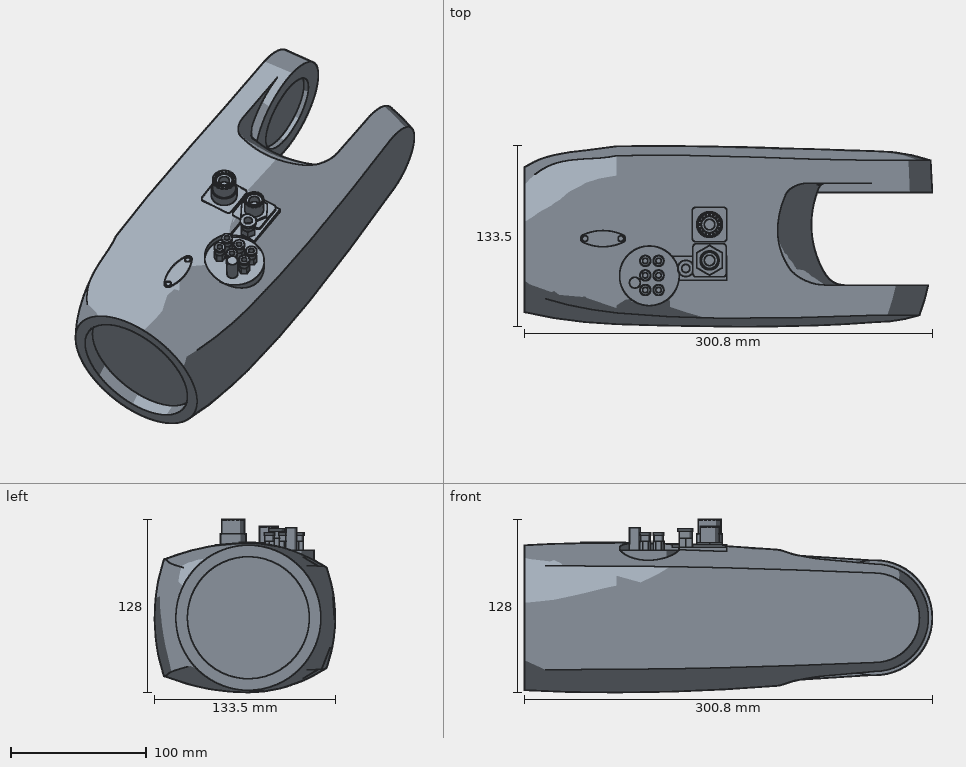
import cadquery as cq
import math

TOTAL_LENGTH = 300.83
WRIST_RADIUS = 42.5
WRIST_X = TOTAL_LENGTH - WRIST_RADIUS
FLANGE_RADIUS = 53.5
BASE_BORE_DIAMETER = 90
BASE_BORE_DEPTH = 10
SEAM_X = 68


def on_flange(y):
    """Corner point on the round mounting end at the given distance from the mid-plane."""
    return y, math.sqrt(FLANGE_RADIUS**2 - y**2)


ROUND_SECTION = (0, FLANGE_RADIUS, on_flange(40.4), FLANGE_RADIUS, on_flange(37.7), FLANGE_RADIUS)
SEAM_SECTION = (SEAM_X, 55.2, (62, 43), 69.0, (54, 38), 62.4)
WRIST_SECTION = (WRIST_X, 43.2, (58.5, 41.3), 65.4, (55.7, 33), 60.9)
BASE_SECTIONS = [
    ROUND_SECTION,
    (17, 54.4, (54, 38.8), 61.3, (44, 38.4), 57.2),
    (34, 54.9, (58.7, 41), 64.8, (48.5, 38.3), 59.8),
    SEAM_SECTION,
]
FORK_SECTIONS = [
    SEAM_SECTION,
    (133, 53.7, (62, 43), 69.0, (57.7, 37.2), 64.0),
    (195, 49.6, (60, 42.5), 67.5, (57.6, 35.4), 63.9),
    WRIST_SECTION,
]

PLUS_ARM_Y = 41.7
HUB_Y = 34.8
MINUS_ARM_Y = -33.4
NOTCH_AXIS_X = 282
NOTCH_AXIS_Y = 11
NOTCH_EDGE_X = 185.5
NOTCH_CROWN_X = 211.8
NOTCH_EDGE_Z = 51
PLUS_NOTCH_RADIUS = 10
MINUS_NOTCH_RADIUS = 16
HUB_BORE_DIAMETER = 58
HUB_BORE_DEPTH = 4

PANEL_X = 92.1
PANEL_Y = -26.6
PANEL_Z = 49.8
PANEL_DIAMETER = 44
FITTING_COLUMNS = (89.1, 98.9)
FITTING_ROWS = (-15.6, -26.3, -37.1)
SMALL_LEVELS = (PANEL_Z, 56.3, 61, 62.7)
SMALL_SIZES = (7, 0, 7, 8, 4)
PIN_X = 81.4
PIN_Y = -31.7
PIN_DIAMETER = 8
PIN_TOP = 66.4

TRAY_END_X = 149
TRAY_Y = (-29.8, -12.3)
TRAY_Z = 52
LARGE_FITTING_X = 119
LARGE_FITTING_Y = -21.2
LARGE_LEVELS = (TRAY_Z, 58.7, 63.7, 65.7)
LARGE_SIZES = (9.8, 30, 9.8, 12, 6)

TALL_FLANGE_SIZE = 25.4
LOW_FLANGE_SIZE = 24.5
FLANGE_CORNER = 2.5
FLANGE_TOP = 53.7
CONNECTOR_X = 136.5
TALL_CONNECTOR_Y = 11.2
TALL_CONNECTOR_TOP = 72.8
TALL_COLLAR_TOP = 61.9
TALL_COLLAR_DIAMETER = 19
TALL_CONNECTOR_DIAMETER = 17
LOW_CONNECTOR_Y = -15.2
LOW_CONNECTOR_TOP = 67.6
LOW_CONNECTOR_DIAMETER = 14
LOW_NUT_HEIGHT = 1.5
LOW_NUT_FLATS = 19
LOW_NUT_TURN = 30
SOCKET_DIAMETER = 12
SOCKET_DEPTH = 1.5
CONTACT_DIAMETER = 7.8
CONTACT_DEPTH = 8
RIM_NOTCHES = 16
RIM_NOTCH_WIDTH = 1
RIM_NOTCH_DEPTH = 0.8

LABEL_X = 57.9
LABEL_Y = 0.8
LABEL_LENGTH = 39
LABEL_WIDTH = 12
LABEL_TOP = 55.6
LABEL_DEPTH = 4
LABEL_TIP_RADIUS = 3
LABEL_SCREW_SPACING = 26.4
LABEL_SCREW_DIAMETER = 4.2
LABEL_SCREW_DEPTH = 1

CLEARANCE = 30
EMBED = 12


def ridge_arc_mid(ridge, corner):
    """Point halfway along the arc that leaves the ridge level and ends at the corner."""
    y, z = corner
    drop = ridge - z
    radius = (y**2 + drop**2) / (2 * drop)
    half_angle = math.asin(y / radius) / 2
    return radius * math.sin(half_angle), ridge - radius * (1 - math.cos(half_angle))


def side_arc_mid(corner, crown):
    """Point halfway along the upper half of the bulging side arc."""
    y, z = corner
    bulge = crown - y
    radius = (z**2 + bulge**2) / (2 * bulge)
    half_angle = math.asin(z / radius) / 2
    return crown - radius * (1 - math.cos(half_angle)), radius * math.sin(half_angle)


def section_wire(section):
    """Closed six-arc outline of the shell at one station along X."""
    x, ridge, plus, plus_crown, minus, minus_crown = section
    plus_mid = ridge_arc_mid(ridge, plus)
    minus_mid = ridge_arc_mid(ridge, minus)
    wire = (
        cq.Workplane("YZ", origin=(x, 0, 0))
        .moveTo(0, ridge)
        .threePointArc(plus_mid, plus)
        .threePointArc((plus_crown, 0), (plus[0], -plus[1]))
        .threePointArc((plus_mid[0], -plus_mid[1]), (0, -ridge))
        .threePointArc((-minus_mid[0], -minus_mid[1]), (-minus[0], -minus[1]))
        .threePointArc((-minus_crown, 0), (-minus[0], minus[1]))
        .threePointArc((-minus_mid[0], minus_mid[1]), (0, ridge))
        .close()
    )
    return wire.val()


def loft_through(sections):
    return cq.Workplane(obj=cq.Solid.makeLoft([section_wire(s) for s in sections]))


def rounded_end():
    """Half turn of the wrist section about the wrist axis."""
    _, ridge, plus, plus_crown, minus, minus_crown = WRIST_SECTION
    plus_mid = ridge_arc_mid(ridge, plus)
    minus_mid = ridge_arc_mid(ridge, minus)
    plus_side = side_arc_mid(plus, plus_crown)
    minus_side = side_arc_mid(minus, minus_crown)
    return (
        cq.Workplane("YZ", origin=(WRIST_X, 0, 0))
        .moveTo(0, ridge)
        .threePointArc(plus_mid, plus)
        .threePointArc(plus_side, (plus_crown, 0))
        .lineTo(-minus_crown, 0)
        .threePointArc((-minus_side[0], minus_side[1]), (-minus[0], minus[1]))
        .threePointArc((-minus_mid[0], minus_mid[1]), (0, ridge))
        .close()
        .revolve(180, (0, 0, 0), (1, 0, 0))
    )


def wrist_cylinder(radius, y_start, y_end):
    plane = cq.Workplane("XZ", origin=(WRIST_X, y_start, 0))
    return plane.circle(radius).extrude(y_start - y_end)


def fork_notch():
    """Space between the arms: a wall bent about a vertical axis, blended into both arm faces."""
    high_z = NOTCH_EDGE_Z + CLEARANCE
    edge_radius = NOTCH_AXIS_X - NOTCH_EDGE_X
    crown_radius = NOTCH_AXIS_X - NOTCH_CROWN_X
    bowl = (
        cq.Workplane("XZ", origin=(NOTCH_AXIS_X, NOTCH_AXIS_Y, 0))
        .moveTo(0, -high_z)
        .lineTo(edge_radius, -high_z)
        .lineTo(edge_radius, -NOTCH_EDGE_Z)
        .threePointArc((crown_radius, 0), (edge_radius, NOTCH_EDGE_Z))
        .lineTo(edge_radius, high_z)
        .lineTo(0, high_z)
        .close()
        .revolve(360, (0, 0, 0), (0, 1, 0))
    )
    gap_width = PLUS_ARM_Y - MINUS_ARM_Y
    gap_mid_y = (PLUS_ARM_Y + MINUS_ARM_Y) / 2
    gap_length = edge_radius + CLEARANCE
    gap = cq.Workplane().box(gap_length, gap_width, 2 * high_z)
    notch = bowl.intersect(gap.translate((NOTCH_AXIS_X - gap_length / 2, gap_mid_y, 0)))
    for y, radius in ((PLUS_ARM_Y, PLUS_NOTCH_RADIUS), (MINUS_ARM_Y, MINUS_NOTCH_RADIUS)):
        low = (0, y - 1, -high_z - 1)
        high = (WRIST_X, y + 1, high_z + 1)
        corner_edges = notch.edges(cq.selectors.BoxSelector(low, high, boundingbox=True))
        notch = notch.newObject(corner_edges.vals()).fillet(radius)
    far_gap = cq.Workplane().box(TOTAL_LENGTH, gap_width, 2 * high_z, centered=(False, True, True))
    return notch.union(far_gap.translate((NOTCH_AXIS_X, gap_mid_y, 0)))


def housing():
    shell = loft_through(BASE_SECTIONS).union(loft_through(FORK_SECTIONS)).union(rounded_end())
    hub = shell.intersect(wrist_cylinder(WRIST_RADIUS, HUB_Y, PLUS_ARM_Y))
    shell = shell.cut(fork_notch()).union(hub)
    shell = shell.cut(wrist_cylinder(HUB_BORE_DIAMETER / 2, HUB_Y, HUB_Y + HUB_BORE_DEPTH))
    base_bore = cq.Workplane("YZ").circle(BASE_BORE_DIAMETER / 2).extrude(BASE_BORE_DEPTH)
    return shell.cut(base_bore)


def flat_seat(body, outline, z):
    """Level the area of a flat sketch to height z, shaving high spots and filling low ones."""
    face = cq.Workplane(origin=(0, 0, z)).placeSketch(outline)
    return body.cut(face.extrude(CLEARANCE)).union(face.extrude(-EMBED))


def rectangle(x_start, x_end, y_start, y_end):
    center = cq.Location(cq.Vector((x_start + x_end) / 2, (y_start + y_end) / 2, 0))
    return cq.Sketch().rect(x_end - x_start, y_end - y_start).moved(center)


def rounded_square(x, y, size, corner):
    square = cq.Sketch().rect(size, size).vertices().fillet(corner).reset()
    return square.moved(cq.Location(cq.Vector(x, y, 0)))


def cylinder(x, y, z_bottom, z_top, diameter):
    return cq.Workplane(origin=(x, y, z_bottom)).circle(diameter / 2).extrude(z_top - z_bottom)


def hex_block(x, y, z_bottom, z_top, across_flats, turn):
    """Hexagonal prism: flats face along Y, or along X when turned by 30 degrees."""
    across_corners = across_flats / math.cos(math.pi / 6)
    block = cq.Workplane().polygon(6, across_corners).extrude(z_top - z_bottom)
    return block.rotate((0, 0, 0), (0, 0, 1), turn).translate((x, y, z_bottom))


def hose_fitting(x, y, levels, hex_flats, hex_turn, neck, collar, bore):
    """Hex foot, round neck and wider collar, bored from the top down to the foot."""
    seat, hex_top, neck_top, top = levels
    fitting = hex_block(x, y, seat, hex_top, hex_flats, hex_turn)
    fitting = fitting.union(cylinder(x, y, hex_top, neck_top, neck))
    fitting = fitting.union(cylinder(x, y, neck_top, top, collar))
    return fitting.cut(cylinder(x, y, hex_top, top, bore))


def connector_barrel(y, top, diameter):
    """Round connector with a stepped bore and a notched rim."""
    x = CONNECTOR_X
    barrel = cylinder(x, y, FLANGE_TOP, top, diameter)
    barrel = barrel.cut(cylinder(x, y, top - SOCKET_DEPTH, top, SOCKET_DIAMETER))
    barrel = barrel.cut(cylinder(x, y, top - CONTACT_DEPTH, top, CONTACT_DIAMETER))
    notch_plane = cq.Workplane(origin=(x, y, top - RIM_NOTCH_DEPTH))
    notches = (
        notch_plane.polarArray(diameter / 2, 0, 360, RIM_NOTCHES)
        .rect(diameter - SOCKET_DIAMETER, RIM_NOTCH_WIDTH)
        .extrude(RIM_NOTCH_DEPTH)
    )
    return barrel.cut(notches)


def add_panel_and_tray(body):
    body = flat_seat(body, rectangle(PANEL_X, TRAY_END_X, *TRAY_Y), TRAY_Z)
    panel = cq.Sketch().circle(PANEL_DIAMETER / 2).moved(cq.Location(cq.Vector(PANEL_X, PANEL_Y, 0)))
    body = flat_seat(body, panel, PANEL_Z)
    for x in FITTING_COLUMNS:
        for y in FITTING_ROWS:
            body = body.union(hose_fitting(x, y, SMALL_LEVELS, *SMALL_SIZES))
    body = body.union(cylinder(PIN_X, PIN_Y, PANEL_Z, PIN_TOP, PIN_DIAMETER))
    return body.union(hose_fitting(LARGE_FITTING_X, LARGE_FITTING_Y, LARGE_LEVELS, *LARGE_SIZES))


def add_connectors(body):
    for y, size in ((TALL_CONNECTOR_Y, TALL_FLANGE_SIZE), (LOW_CONNECTOR_Y, LOW_FLANGE_SIZE)):
        body = flat_seat(body, rounded_square(CONNECTOR_X, y, size, FLANGE_CORNER), FLANGE_TOP)
    tall_collar = cylinder(
        CONNECTOR_X, TALL_CONNECTOR_Y, FLANGE_TOP, TALL_COLLAR_TOP, TALL_COLLAR_DIAMETER
    )
    low_nut = hex_block(
        CONNECTOR_X, LOW_CONNECTOR_Y, FLANGE_TOP, FLANGE_TOP + LOW_NUT_HEIGHT, LOW_NUT_FLATS, LOW_NUT_TURN
    )
    tall_barrel = connector_barrel(TALL_CONNECTOR_Y, TALL_CONNECTOR_TOP, TALL_CONNECTOR_DIAMETER)
    low_barrel = connector_barrel(LOW_CONNECTOR_Y, LOW_CONNECTOR_TOP, LOW_CONNECTOR_DIAMETER)
    return body.union(tall_collar).union(tall_barrel).union(low_nut).union(low_barrel)


def add_label_plate(body):
    """Flat lens-shaped plate with rounded tips and a screw hole near each tip."""
    half_length = LABEL_LENGTH / 2
    half_width = LABEL_WIDTH / 2
    plate = (
        cq.Workplane(origin=(LABEL_X, LABEL_Y, LABEL_TOP))
        .moveTo(-half_length, 0)
        .threePointArc((0, half_width), (half_length, 0))
        .threePointArc((0, -half_width), (-half_length, 0))
        .close()
        .extrude(-LABEL_DEPTH)
        .edges("|Z")
        .fillet(LABEL_TIP_RADIUS)
    )
    screws = (
        cq.Workplane(origin=(LABEL_X, LABEL_Y, LABEL_TOP))
        .rarray(LABEL_SCREW_SPACING, 1, 2, 1)
        .circle(LABEL_SCREW_DIAMETER / 2)
        .extrude(-LABEL_SCREW_DEPTH)
    )
    return body.union(plate).cut(screws)


result = add_label_plate(add_connectors(add_panel_and_tray(housing())))